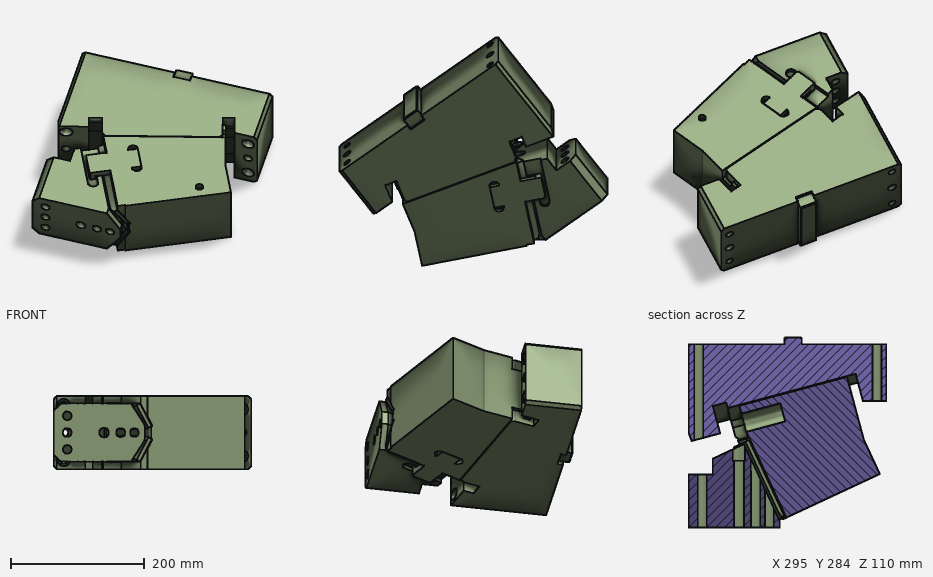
import cadquery as cq
import math


GUIDE = math.radians(15)
WORK = math.radians(25)
V_TILT = math.radians(30)
V_SLOPE = math.tan(V_TILT)

UP = cq.Vector(0, 0, 1)
ORIGIN = cq.Vector(0, 0, 0)
GUIDE_X = cq.Vector(math.cos(GUIDE), math.sin(GUIDE), 0)
GUIDE_Y = cq.Vector(-math.sin(GUIDE), math.cos(GUIDE), 0)
WORK_X = cq.Vector(math.cos(WORK), math.sin(WORK), 0)
WORK_Y = cq.Vector(-math.sin(WORK), math.cos(WORK), 0)

PART_PLANE = cq.Plane(ORIGIN, cq.Vector(1, 0, 0), UP)
GUIDE_PLANE = cq.Plane(ORIGIN, GUIDE_X, UP)
WORK_PLANE = cq.Plane(ORIGIN, WORK_X, UP)

FAR = 400.0


def block(plane, x_range, y_range, z_range):
    """A box given by its limits along the plane's own axes."""
    x0, x1 = x_range
    y0, y1 = y_range
    z0, z1 = z_range
    face = cq.Workplane(plane).workplane(offset=z0)
    face = face.center((x0 + x1) / 2, (y0 + y1) / 2)
    return face.rect(x1 - x0, y1 - y0).extrude(z1 - z0)


def bore(x, z, radius, y_range):
    """A round cutter along Y."""
    y0, y1 = y_range
    plane = cq.Plane(cq.Vector(x, y0, z), cq.Vector(1, 0, 0), cq.Vector(0, 1, 0))
    return cq.Workplane(plane).circle(radius).extrude(y1 - y0)


def work_section(points, start, end):
    """A prism along the ridge, from a section of (distance towards slide, z) points."""
    plane = cq.Plane(WORK_Y * start, WORK_X, WORK_Y * -1)
    return cq.Workplane(plane).polyline(points).close().extrude(start - end)


def guide_section(points, along):
    """A prism along the guide, from a section of (distance into holder, z) points."""
    start, end = along
    plane = cq.Plane(GUIDE_X * start, GUIDE_Y, GUIDE_X)
    return cq.Workplane(plane).polyline(points).close().extrude(end - start)


def both_sides(half_outline):
    """Complete a section given from top to middle with its mirror image in z."""
    return half_outline + [(across, -z) for across, z in reversed(half_outline)]


def with_mirror(shape):
    """The shape and its mirror image below the middle plane."""
    return (shape, shape.mirror("XY"))


HALF_HEIGHT = 55.0
FULL_HEIGHT = (-HALF_HEIGHT, HALF_HEIGHT)
DOWEL_RADIUS = 6.5

DRIVER_HALF = 43.5
CREST_HALF = 10.7
RIDGE_ROOT = 108.6
RIDGE_CREST = RIDGE_ROOT + (DRIVER_HALF - CREST_HALF) * V_SLOPE

HOOK_RANGE = (21.5, 55.0)
HOOK_TIP, HOOK_BACK = 90.0, 168.0
HOOK_BOTTOM = 44.5
LIP_WIDTH, LIP_BOTTOM = 8.5, 38.0
LIP_CHAMFER = 2.0

HOLDER_FACE = 107.4
NECK_HALF, HEAD_HALF = 35.0, 45.0
HEAD_FLOOR, HEAD_SHOULDER = 127.0, 137.5
GUIDE_GAP = 0.5
FACE_GAP = 1.1


def guide_tee(base, along, gap):
    """T with a V roof, starting at distance `base` and shrunk all round by `gap`."""
    neck, head = NECK_HALF - gap, HEAD_HALF - gap
    floor, shoulder = HEAD_FLOOR + gap, HEAD_SHOULDER - gap
    roof = shoulder + (head - CREST_HALF) * V_SLOPE
    half = [(base, neck), (floor, neck), (floor, head), (shoulder, head), (roof, CREST_HALF)]
    return guide_section(both_sides(half), along)


LENGTH = 295.0
HOLDER_BACK = 274.0
SIDE_CHAMFER = 5.0
LEFT_FOOT_FACE = 123.8
RIGHT_FOOT_Y = 189.0
LEFT_NOTCH = (82.0, 102.3)
LEFT_NOTCH_ROOF = 140.3
RIGHT_NOTCH = (282.0, 300.0)
RIGHT_NOTCH_ROOF = 143.7
FACE_CHAMFER_ALONG, FACE_CHAMFER_ACROSS = 4.4, 6.0
FACE_FILLET = 5.5
FOOT_CORNER_TOP = 141.0
FOOT_CORNER_SLOPE = 2.72

KEY_X = (143.0, 169.0)
KEY_Y = (265.5, 284.0)
KEY_HALF = 50.0
KEY_CHAMFER = 1.5

FOOT_BOLTS = ((15.0, 41.0), (281.0, 35.0))
BOLT_RADIUS, BOLT_HEAD_RADIUS = 5.5, 9.3
BOLT_SEAT = 25.0


def holder_underside():
    """Everything below the stepped lower outline, up to the right notch."""
    left_start, left_end = LEFT_NOTCH
    right_start, right_end = RIGHT_NOTCH
    return (
        cq.Workplane(GUIDE_PLANE)
        .workplane(offset=-HALF_HEIGHT)
        .moveTo(-FAR, LEFT_FOOT_FACE)
        .lineTo(left_start, LEFT_FOOT_FACE)
        .lineTo(left_start, LEFT_NOTCH_ROOF)
        .lineTo(left_end, LEFT_NOTCH_ROOF)
        .lineTo(left_end, HOLDER_FACE + FACE_CHAMFER_ACROSS)
        .lineTo(left_end + FACE_CHAMFER_ALONG, HOLDER_FACE)
        .lineTo(right_start - FACE_FILLET, HOLDER_FACE)
        .radiusArc((right_start, HOLDER_FACE + FACE_FILLET), -FACE_FILLET)
        .lineTo(right_start, RIGHT_NOTCH_ROOF)
        .lineTo(right_end, RIGHT_NOTCH_ROOF)
        .lineTo(right_end, -FAR)
        .lineTo(-FAR, -FAR)
        .close()
        .extrude(2 * HALF_HEIGHT)
    )


def right_foot_clearance():
    """Space under the right foot, starting at the notch wall."""
    wall_x = (RIGHT_NOTCH[1] - RIGHT_FOOT_Y * math.sin(GUIDE)) / math.cos(GUIDE)
    return block(PART_PLANE, (wall_x, LENGTH), (0, RIGHT_FOOT_Y), FULL_HEIGHT)


def left_foot_corner():
    """Wedge that slants the lower corner of the left foot."""
    corner = cq.Workplane("XY", origin=(0, 0, -HALF_HEIGHT))
    corner = corner.polyline([(0, FOOT_CORNER_TOP), (FOOT_CORNER_TOP / FOOT_CORNER_SLOPE, 0), (0, 0)])
    return corner.close().extrude(2 * HALF_HEIGHT)


def left_notch_roof():
    """V in the roof of the left notch, rising towards the middle plane."""
    crest = LEFT_NOTCH_ROOF + (HALF_HEIGHT - CREST_HALF) * V_SLOPE
    half = [(HOLDER_FACE, HALF_HEIGHT), (LEFT_NOTCH_ROOF, HALF_HEIGHT), (crest, CREST_HALF)]
    return guide_section(both_sides(half), LEFT_NOTCH)


def make_holder():
    body = block(PART_PLANE, (0, LENGTH), (0, HOLDER_BACK), FULL_HEIGHT)
    body = body.edges("|Y").chamfer(SIDE_CHAMFER)
    body = body.cut(holder_underside()).cut(right_foot_clearance()).cut(left_foot_corner())
    body = body.cut(guide_tee(0, (LEFT_NOTCH[0], RIGHT_NOTCH[1]), 0))
    body = body.cut(left_notch_roof())

    body = body.cut(block(PART_PLANE, KEY_X, KEY_Y, FULL_HEIGHT))
    key = block(PART_PLANE, KEY_X, KEY_Y, (-KEY_HALF, KEY_HALF))
    body = body.union(key.faces(">Y").chamfer(KEY_CHAMFER))

    for x, offset in FOOT_BOLTS:
        body = body.cut(bore(x, 0, DOWEL_RADIUS, (0, HOLDER_BACK)))
        for z in (-offset, offset):
            body = body.cut(bore(x, z, BOLT_RADIUS, (0, HOLDER_BACK)))
            body = body.cut(bore(x, z, BOLT_HEAD_RADIUS, (0, HOLDER_BACK - BOLT_SEAT)))
    return body


SLIDE_FRONT, SLIDE_REAR = 121.5, 292.6
SLIDE_BOTTOM = -48.0
SLIDE_FACE = HOLDER_FACE - FACE_GAP
SLIDE_END = 286.7
TONGUE_START = 120.0
TONGUE_ROOT = 5.0
SLIDE_BEND = (SLIDE_REAR * math.cos(WORK - GUIDE) - SLIDE_END) / math.sin(WORK - GUIDE)

STEP_BOTTOM, STEP_END = -46.4, 132.7

GROOVE_HALF = 30.4
RELIEF_HALF, RELIEF_FLOOR = 8.0, 138.4
GROOVE_TOP = 90.0

PLATE_TOP, PLATE_BOTTOM = 80.5, -45.2
PLATE_EDGE = 38.2
PLATE_WIDTH, PLATE_THICKNESS = 38.7, 10.8
LEAD_IN_LENGTH, LEAD_IN_DEPTH = 11.0, 4.5
LEAD_IN_RADIUS = (LEAD_IN_LENGTH**2 + LEAD_IN_DEPTH**2) / (2 * LEAD_IN_DEPTH)

HOOK_RELIEF_RADIUS = 7.5
HOOK_POCKET_BACK = 168.5

SPRING_BORE_ACROSS = 130.0
SPRING_BORE_RADIUS, SPRING_BORE_DEPTH = 14.0, 60.0

LIFT_HOLE = (247.6, -30.6)
LIFT_RADIUS, LIFT_DEPTH = 5.5, 20.0
DRILL_TIP_ANGLE = math.radians(118)
DRILL_POINT = LIFT_RADIUS / math.tan(DRILL_TIP_ANGLE / 2)


def slide_block():
    body = block(WORK_PLANE, (SLIDE_FRONT, FAR), (SLIDE_BEND, FAR), FULL_HEIGHT)
    body = body.cut(block(GUIDE_PLANE, (-FAR, FAR), (SLIDE_FACE, 2 * FAR), FULL_HEIGHT))
    body = body.cut(block(GUIDE_PLANE, (SLIDE_END, 2 * FAR), (-FAR, FAR), FULL_HEIGHT))
    lower = block(WORK_PLANE, (SLIDE_FRONT, SLIDE_REAR), (SLIDE_BOTTOM, SLIDE_BEND), FULL_HEIGHT)
    step = block(WORK_PLANE, (SLIDE_FRONT, STEP_END), (SLIDE_BOTTOM, STEP_BOTTOM), FULL_HEIGHT)
    return body.union(lower).cut(step)


def slide_groove():
    side = SLIDE_FRONT + (GROOVE_HALF - RELIEF_HALF) * V_SLOPE
    half = [(0, GROOVE_HALF), (SLIDE_FRONT, GROOVE_HALF), (side, RELIEF_HALF), (RELIEF_FLOOR, RELIEF_HALF)]
    return work_section(both_sides(half), SLIDE_BOTTOM, GROOVE_TOP)


def plate_plane():
    """Plane at the upper plate's outer edge: x up the ridge, y into the slide."""
    across = RIDGE_ROOT + (DRIVER_HALF - PLATE_EDGE) * V_SLOPE
    down_the_v = WORK_X * math.sin(V_TILT) - UP * math.cos(V_TILT)
    return cq.Plane(WORK_X * across + UP * PLATE_EDGE, WORK_Y, down_the_v)


def plate_pocket():
    """Room for the upper plate, open at the slide's bottom."""
    return block(plate_plane(), (SLIDE_BOTTOM, PLATE_TOP), (0, PLATE_THICKNESS), (0, PLATE_WIDTH))


def guide_plate():
    """The upper plate: its front lies on the driver's ridge and curves away at the lower end."""
    outline = (
        cq.Workplane(plate_plane())
        .moveTo(PLATE_TOP, 0)
        .lineTo(PLATE_BOTTOM + LEAD_IN_LENGTH, 0)
        .radiusArc((PLATE_BOTTOM, LEAD_IN_DEPTH), LEAD_IN_RADIUS)
        .lineTo(PLATE_BOTTOM, PLATE_THICKNESS)
        .lineTo(PLATE_TOP, PLATE_THICKNESS)
        .close()
    )
    return outline.extrude(PLATE_WIDTH)


def hook_relief():
    """Pocket with round ends behind the upper hook."""
    start, end = HOOK_RANGE
    pocket = cq.Workplane(WORK_PLANE).workplane(offset=HOOK_BOTTOM)
    pocket = pocket.center(HOOK_POCKET_BACK - HOOK_RELIEF_RADIUS, (start + end) / 2)
    pocket = pocket.slot2D(end - start + 2 * HOOK_RELIEF_RADIUS, 2 * HOOK_RELIEF_RADIUS, 90)
    return pocket.extrude(HALF_HEIGHT - HOOK_BOTTOM)


def return_hook():
    """The upper hook with the lip at its tip."""
    lip_range = (HOOK_TIP, HOOK_TIP + LIP_WIDTH)
    web = block(WORK_PLANE, (lip_range[1], HOOK_BACK), HOOK_RANGE, (HOOK_BOTTOM, HALF_HEIGHT))
    lip = block(WORK_PLANE, lip_range, HOOK_RANGE, (LIP_BOTTOM, HALF_HEIGHT))
    lower_tip_edge = cq.selectors.DirectionMinMaxSelector(WORK_X + WORK_Y, False)
    lip = lip.edges("|Z").edges(lower_tip_edge).chamfer(LIP_CHAMFER)
    return web.union(lip)


def lift_hole():
    """Blind hole with a drill point in the slide's top."""
    across, along = LIFT_HOLE
    bottom = HALF_HEIGHT - LIFT_DEPTH
    profile = [(0, HALF_HEIGHT), (LIFT_RADIUS, HALF_HEIGHT), (LIFT_RADIUS, bottom), (0, bottom - DRILL_POINT)]
    center = WORK_X * across + WORK_Y * along
    drill = cq.Workplane("XZ").polyline(profile).close().revolve(360, (0, 0, 0), (0, 1, 0))
    return drill.translate(center)


def spring_bore():
    plane = cq.Plane(GUIDE_X * TONGUE_START, GUIDE_Y, GUIDE_X)
    hole = cq.Workplane(plane).center(SPRING_BORE_ACROSS, 0)
    return hole.circle(SPRING_BORE_RADIUS).extrude(SPRING_BORE_DEPTH)


def make_slide():
    body = slide_block()
    body = body.union(guide_tee(SLIDE_FACE - TONGUE_ROOT, (TONGUE_START, SLIDE_END), GUIDE_GAP))
    body = body.cut(slide_groove())
    for pocket in with_mirror(plate_pocket()):
        body = body.cut(pocket)
    for plate in with_mirror(guide_plate()):
        body = body.union(plate)
    for relief in with_mirror(hook_relief()):
        body = body.cut(relief)
    for hook in with_mirror(return_hook()):
        body = body.union(hook)
    return body.cut(lift_hole()).cut(spring_bore())


DRIVER_LEFT_Y = 79.7
DRIVER_STEP_X = 35.8
DRIVER_TOP = 78.3
DRIVER_CHAMFER = 10.5
TOE_Y = 9.5

SLOT_LEFT, SLOT_WIDTH = 86.0, 15.0
SLOT_END = 4.0
SLOT_FLOOR = 37.0
SLOT_MOUTH = HOOK_RANGE[1]

CORNER_HOLES_X, CORNER_HOLES_PITCH = 20.2, 25.0
RIDGE_HOLES = ((75.0, 7.2), (100.0, 6.7), (120.4, 6.4))
SPRING_SEAT_X, SPRING_SEAT_Y, SPRING_SEAT_RADIUS = RIDGE_HOLES[0][0], 100.0, 9.0
V_CUT_MARGIN = 1.0


def toe_x(across):
    """X at the top of the toe for a distance across the ridge."""
    return (across - TOE_Y * math.sin(WORK)) / math.cos(WORK)


def driver_block():
    ridge_tip = WORK_X * RIDGE_CREST + WORK_Y * DRIVER_TOP
    step_top = (DRIVER_TOP + DRIVER_STEP_X * math.sin(WORK)) / math.cos(WORK)
    outline = [
        (0, 0),
        (toe_x(RIDGE_CREST), 0),
        (toe_x(RIDGE_CREST), TOE_Y),
        (ridge_tip.x, ridge_tip.y),
        (DRIVER_STEP_X, step_top),
        (DRIVER_STEP_X, DRIVER_LEFT_Y),
        (0, DRIVER_LEFT_Y),
    ]
    body = cq.Workplane("XY", origin=(0, 0, -DRIVER_HALF)).polyline(outline).close()
    return body.extrude(2 * DRIVER_HALF).edges("<X and |Y").chamfer(DRIVER_CHAMFER)


def v_corner(root, crest):
    """Section of the material outside the upper V face."""
    beyond = crest + V_CUT_MARGIN
    return [(root, DRIVER_HALF), (crest, CREST_HALF), (beyond, CREST_HALF), (beyond, DRIVER_HALF)]


def hook_slot():
    """Slot for the upper hook's lip, round at its lower end."""
    radius = SLOT_WIDTH / 2
    depth = (SLOT_FLOOR, DRIVER_HALF)
    end_center = SLOT_END + radius
    slot = block(WORK_PLANE, (SLOT_LEFT, SLOT_LEFT + SLOT_WIDTH), (end_center, DRIVER_TOP), depth)
    mouth = block(WORK_PLANE, (SLOT_LEFT, RIDGE_CREST), (SLOT_MOUTH, DRIVER_TOP), depth)
    end = cq.Workplane(WORK_PLANE).workplane(offset=SLOT_FLOOR).center(SLOT_LEFT + radius, end_center)
    return slot.union(mouth).union(end.circle(radius).extrude(DRIVER_HALF - SLOT_FLOOR))


def make_driver():
    body = driver_block()
    ridge_cut = work_section(v_corner(RIDGE_ROOT, RIDGE_CREST), -FAR, FAR)
    toe_section = v_corner(toe_x(RIDGE_ROOT), toe_x(RIDGE_CREST))
    toe_cut = cq.Workplane("XZ").polyline(toe_section).close().extrude(-TOE_Y)
    for cutter in (ridge_cut, toe_cut, hook_slot()):
        for side in with_mirror(cutter):
            body = body.cut(side)

    for z in (-CORNER_HOLES_PITCH, 0, CORNER_HOLES_PITCH):
        body = body.cut(bore(CORNER_HOLES_X, z, DOWEL_RADIUS, (0, DRIVER_LEFT_Y)))
    for x, radius in RIDGE_HOLES:
        body = body.cut(bore(x, 0, radius, (0, FAR)))
    return body.cut(bore(SPRING_SEAT_X, 0, SPRING_SEAT_RADIUS, (SPRING_SEAT_Y, FAR)))


holder = make_holder().solids()
slide = make_slide().solids()
driver = make_driver().solids()
result = cq.Compound.makeCompound([holder.val(), slide.val(), driver.val()])